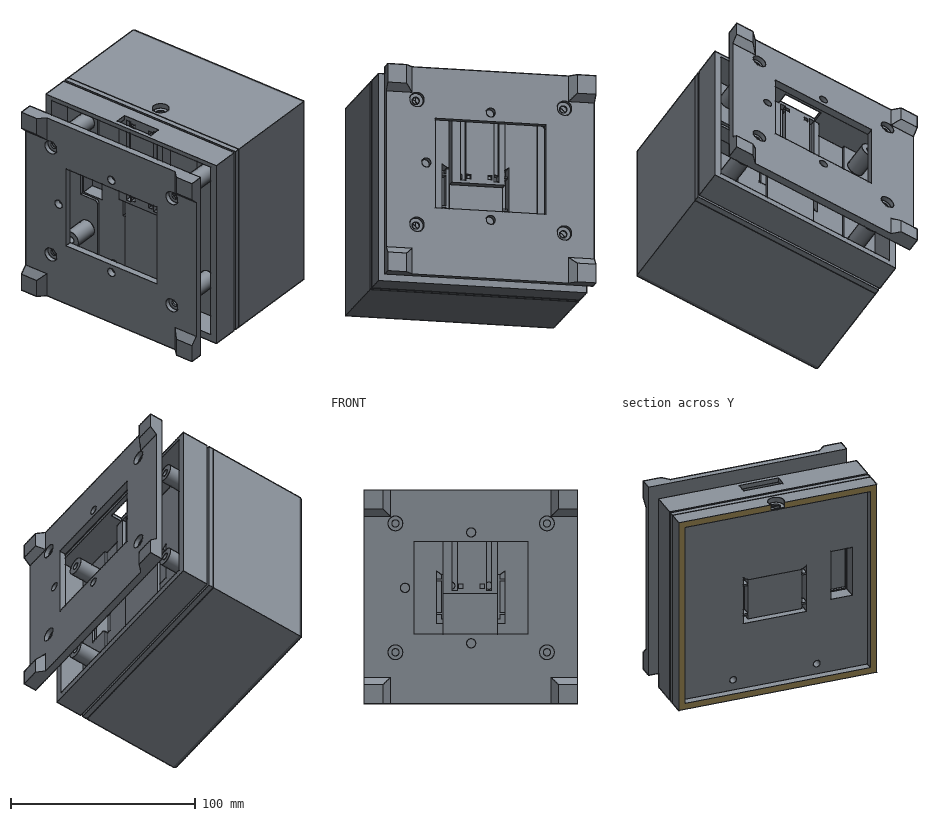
import cadquery as cq


WIDTH = 116.0
HEIGHT = 116.1
TOTAL_DEPTH = 102.4
AXIS_X = 0.2

FOOT_HEIGHT = 4.0
PLATE_THICKNESS = 3.8
PLATE_FRONT = FOOT_HEIGHT
PLATE_BACK = PLATE_FRONT + PLATE_THICKNESS
FOOT_TIP = 10.5
FOOT_BASE = FOOT_TIP + FOOT_HEIGHT
WINDOW_WIDTH = 61.7
WINDOW_HEIGHT = 50.1
FIXING_Z = 4.9
SCREW_SPACING_X = 82.2
SCREW_SPACING_Z = 69.9
SCREW_DIAMETER = 4.0
SCREW_HEAD_DIAMETER = 8.0
SCREW_HEAD_DEPTH = 2.7
LOCATING_DIAMETER = 5.0
LOCATING_RISE = 30.1
LOCATING_REACH = 35.9

FRAME_FRONT = 22.0
FRAME_DEPTH = 16.0
FRAME_BACK = FRAME_FRONT + FRAME_DEPTH
FLOOR_THICKNESS = 1.5
FLOOR_FRONT = FRAME_BACK - FLOOR_THICKNESS
FRAME_SIDE_WALL = 4.0
FRAME_TOP_WALL = 2.5
FRAME_BOTTOM_WALL = 4.4
FRAME_INNER_TOP = HEIGHT / 2 - FRAME_TOP_WALL
FRAME_INNER_BOTTOM = -HEIGHT / 2 + FRAME_BOTTOM_WALL
STANDOFF_DIAMETER = 10.0
STANDOFF_BORE = 4.0
POST_LEFT = -15.1
POST_RIGHT = 14.5
FLOOR_OPENING_EDGE = 33.9
BLOCK_HEIGHT = 7.0
BLOCK_FRONT = FRAME_BACK - BLOCK_HEIGHT
BLOCK_BOTTOM = 1.9
GROOVE_BOTTOM = 3.5
GROOVE_DEPTH = 3.0
GROOVE_FLOOR = BLOCK_FRONT + GROOVE_DEPTH
GROOVE_SPANS = [(-10.1, -7.1), (8.5, 11.3)]
GROOVE_HOLE_DIAMETER = 4.0
GROOVE_HOLES_X = [-10.6, 9.9]
GROOVE_HOLE_Z = 6.0
SOCKET_SIZE = 2.3
SOCKET_DEPTH = 2.5
SOCKETS_X = [-5.5, 6.3]
SOCKETS_Z = [5.7, 53.3]
PORT_WIDTH = 23.0
PORT_DEPTH = 6.6
CABLE_NOTCH_LEFT = -45.3
CABLE_NOTCH_HEIGHT = 29.5
NOTCH_CORNER_RADIUS = 2.0

FRAME_GAP = 1.2
LID_FRONT = FRAME_BACK + FRAME_GAP
LID_RIM = 2.9
PLUG_END = 47.1
LID_HOLE_WIDTH = 37.1
LID_HOLE_BOTTOM = -14.4
LID_HOLE_TOP = 13.9
CABLE_HOLE_RIGHT = -32.7
LID_SCREW_DIAMETER = 4.0
LID_SCREW_X = 24.5
LID_SCREW_Z = -47.8

MODULE_WIDTH = 31.6
MODULE_HEIGHT = 24.1
MODULE_TAB_HEIGHT = 1.0
MODULE_TAB_Z = 9.0

HOUSING_GAP = 0.2
HOUSING_FRONT = LID_FRONT + LID_RIM + HOUSING_GAP
HOUSING_WALL = 4.0
HOUSING_EDGE_RADIUS = 2.0
TOP_HOLE_Y = 48.6
TOP_HOLE_DIAMETER = 5.0
TOP_HOLE_HEAD_DIAMETER = 9.0
TOP_HOLE_HEAD_DEPTH = 3.0

SCREW_POINTS = [
    (AXIS_X + sx * SCREW_SPACING_X / 2, FIXING_Z + sz * SCREW_SPACING_Z / 2)
    for sx in (-1, 1)
    for sz in (-1, 1)
]


def block(x_span, y_span, z_span):
    """Box given by its limits along each axis."""
    spans = (x_span, y_span, z_span)
    sizes = [high - low for low, high in spans]
    return cq.Workplane("XY").box(*sizes, centered=False).translate(tuple(low for low, high in spans))


def centred(size, middle=0.0):
    """Limits of a length centred on a position."""
    return (middle - size / 2, middle + size / 2)


def rods(points, diameter, y_span):
    """Cylinders along Y at the given (x, z) points."""
    start, end = y_span
    plane = cq.Workplane("XZ", origin=(0, start, 0))
    return plane.pushPoints(points).circle(diameter / 2).extrude(start - end)


def corner_foot(sign_x, sign_z):
    """Foot on a plate corner, with its two inner flanks sloping outwards at 45 degrees."""
    corner_x = sign_x * WIDTH / 2
    corner_z = sign_z * HEIGHT / 2
    x_profile = [
        (corner_x, PLATE_FRONT),
        (corner_x, 0),
        (corner_x - sign_x * FOOT_TIP, 0),
        (corner_x - sign_x * FOOT_BASE, PLATE_FRONT),
    ]
    z_profile = [
        (PLATE_FRONT, corner_z),
        (0, corner_z),
        (0, corner_z - sign_z * FOOT_TIP),
        (PLATE_FRONT, corner_z - sign_z * FOOT_BASE),
    ]
    along_z = cq.Workplane("XY").polyline(x_profile).close().extrude(HEIGHT / 2, both=True)
    along_x = cq.Workplane("YZ").polyline(z_profile).close().extrude(WIDTH / 2, both=True)
    return along_z.intersect(along_x)


def make_plate():
    plate_span = (PLATE_FRONT, PLATE_BACK)
    plate = block(centred(WIDTH), plate_span, centred(HEIGHT))
    for sign_x in (-1, 1):
        for sign_z in (-1, 1):
            plate = plate.union(corner_foot(sign_x, sign_z))
    plate = plate.cut(block(centred(WINDOW_WIDTH, AXIS_X), plate_span, centred(WINDOW_HEIGHT, FIXING_Z)))
    plate = plate.cut(rods(SCREW_POINTS, SCREW_DIAMETER, plate_span))
    head_span = (PLATE_FRONT, PLATE_FRONT + SCREW_HEAD_DEPTH)
    plate = plate.cut(rods(SCREW_POINTS, SCREW_HEAD_DIAMETER, head_span))
    locating_points = [
        (AXIS_X, FIXING_Z + LOCATING_RISE),
        (AXIS_X, FIXING_Z - LOCATING_RISE),
        (AXIS_X - LOCATING_REACH, FIXING_Z),
    ]
    return plate.cut(rods(locating_points, LOCATING_DIAMETER, plate_span))


def frame_tray():
    """Open tray whose floor has an opening on each side of a central post."""
    inner_z = (FRAME_INNER_BOTTOM, FRAME_INNER_TOP)
    inner_x = centred(WIDTH - 2 * FRAME_SIDE_WALL)
    tray = block(centred(WIDTH), (FRAME_FRONT, FRAME_BACK), centred(HEIGHT))
    tray = tray.cut(block(inner_x, (FRAME_FRONT, FLOOR_FRONT), inner_z))
    floor_span = (FLOOR_FRONT, FRAME_BACK)
    tray = tray.cut(block((-FLOOR_OPENING_EDGE, POST_LEFT), floor_span, inner_z))
    tray = tray.cut(block((POST_RIGHT, FLOOR_OPENING_EDGE), floor_span, inner_z))
    notch_z = centred(CABLE_NOTCH_HEIGHT, FIXING_Z)
    tray = tray.cut(block((CABLE_NOTCH_LEFT, -FLOOR_OPENING_EDGE), floor_span, notch_z))
    floor_middle = (FLOOR_FRONT + FRAME_BACK) / 2
    for z in notch_z:
        corner = cq.selectors.NearestToPointSelector((-FLOOR_OPENING_EDGE, floor_middle, z))
        tray = tray.edges("|Y").edges(corner).fillet(NOTCH_CORNER_RADIUS)
    return tray


def raised_block():
    """Block on the upper part of the post, with two grooves, their holes and square sockets."""
    body = block((POST_LEFT, POST_RIGHT), (BLOCK_FRONT, FRAME_BACK), (BLOCK_BOTTOM, FRAME_INNER_TOP))
    groove_z = (GROOVE_BOTTOM, FRAME_INNER_TOP)
    for groove_x, hole_x in zip(GROOVE_SPANS, GROOVE_HOLES_X):
        below_groove = (GROOVE_FLOOR, FRAME_BACK)
        hole = rods([(hole_x, GROOVE_HOLE_Z)], GROOVE_HOLE_DIAMETER, below_groove)
        body = body.cut(block(groove_x, (BLOCK_FRONT, GROOVE_FLOOR), groove_z))
        body = body.cut(hole.intersect(block(groove_x, below_groove, groove_z)))
    for x in SOCKETS_X:
        for z in SOCKETS_Z:
            socket_y = (BLOCK_FRONT, BLOCK_FRONT + SOCKET_DEPTH)
            body = body.cut(block(centred(SOCKET_SIZE, x), socket_y, centred(SOCKET_SIZE, z)))
    return body


def make_frame():
    block_z = (BLOCK_BOTTOM, FRAME_INNER_TOP)
    seat = block((POST_LEFT, POST_RIGHT), (FLOOR_FRONT, FRAME_BACK), block_z)
    frame = frame_tray().cut(seat).union(raised_block())
    standoff_span = (FRAME_FRONT, FLOOR_FRONT)
    frame = frame.union(rods(SCREW_POINTS, STANDOFF_DIAMETER, standoff_span))
    frame = frame.cut(rods(SCREW_POINTS, STANDOFF_BORE, standoff_span))
    port_y = (BLOCK_FRONT - PORT_DEPTH, BLOCK_FRONT)
    return frame.cut(block(centred(PORT_WIDTH, AXIS_X), port_y, (FRAME_INNER_TOP, HEIGHT / 2)))


def lid_hole(y_span):
    """Hole around the module, with its top edge rising to a point at each upper corner."""
    start, end = y_span
    outer_x = LID_HOLE_WIDTH / 2
    inner_x = MODULE_WIDTH / 2
    inner_z = MODULE_HEIGHT / 2
    outline = [
        (-outer_x, LID_HOLE_BOTTOM),
        (outer_x, LID_HOLE_BOTTOM),
        (outer_x, LID_HOLE_TOP),
        (inner_x, inner_z),
        (-inner_x, inner_z),
        (-outer_x, LID_HOLE_TOP),
    ]
    return cq.Workplane("XZ", origin=(0, start, 0)).polyline(outline).close().extrude(start - end)


def make_lid():
    """Cover with a plug that fits into the housing."""
    rim_back = LID_FRONT + LID_RIM
    lid_span = (LID_FRONT, PLUG_END)
    lid = block(centred(WIDTH), (LID_FRONT, rim_back), centred(HEIGHT))
    plug_x = centred(WIDTH - 2 * HOUSING_WALL)
    plug_z = centred(HEIGHT - 2 * HOUSING_WALL)
    lid = lid.union(block(plug_x, (rim_back, PLUG_END), plug_z))
    lid = lid.cut(lid_hole(lid_span))
    cable_z = centred(CABLE_NOTCH_HEIGHT, FIXING_Z)
    lid = lid.cut(block((CABLE_NOTCH_LEFT, CABLE_HOLE_RIGHT), lid_span, cable_z))
    screw_points = [(-LID_SCREW_X, LID_SCREW_Z), (LID_SCREW_X, LID_SCREW_Z)]
    return lid.cut(rods(screw_points, LID_SCREW_DIAMETER, lid_span))


def make_module():
    """Rectangular module held in the lid hole by two narrow tabs on each side."""
    module_span = (LID_FRONT + LID_RIM, PLUG_END)
    module = block(centred(MODULE_WIDTH), module_span, centred(MODULE_HEIGHT))
    for z in (-MODULE_TAB_Z, MODULE_TAB_Z):
        module = module.union(block(centred(LID_HOLE_WIDTH), module_span, centred(MODULE_TAB_HEIGHT, z)))
    return module


def make_housing():
    """Box open towards the lid, with rounded far edges and a stepped hole in its top wall."""
    housing = block(centred(WIDTH), (HOUSING_FRONT, TOTAL_DEPTH), centred(HEIGHT))
    housing = housing.faces(">Y").edges().fillet(HOUSING_EDGE_RADIUS)
    cavity_x = centred(WIDTH - 2 * HOUSING_WALL)
    cavity_z = centred(HEIGHT - 2 * HOUSING_WALL)
    housing = housing.cut(block(cavity_x, (HOUSING_FRONT, TOTAL_DEPTH - HOUSING_WALL), cavity_z))
    top_hole = cq.Workplane("XY", origin=(0, TOP_HOLE_Y, HEIGHT / 2))
    housing = housing.cut(top_hole.circle(TOP_HOLE_DIAMETER / 2).extrude(-HOUSING_WALL))
    return housing.cut(top_hole.circle(TOP_HOLE_HEAD_DIAMETER / 2).extrude(-TOP_HOLE_HEAD_DEPTH))


plate = make_plate()
frame = make_frame()
lid = make_lid()
module = make_module()
housing = make_housing()

result = cq.Compound.makeCompound([plate.val(), frame.val(), lid.val(), module.val(), housing.val()])